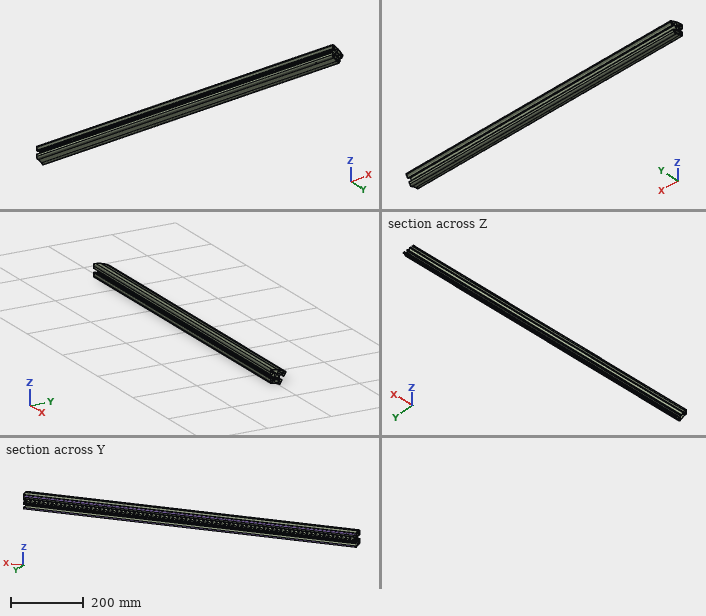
import cadquery as cq
import math

LENGTH = 1000.0
SECTOR_ANGLE = 30.0
INNER_RADIUS = 60.0
OUTER_RADIUS = 100.0
CORNER_RADIUS = 3.0

MOUTH_WIDTH = 11.8
MOUTH_DEPTH = 1.5
OPENING_WIDTH = 10.0
LIP_DEPTH = 6.0
LIP_SLOPE_DEPTH = 8.5
UNDERCUT_WIDTH = 20.4
UNDERCUT_DEPTH = 9.0
FLOOR_WIDTH = 12.1
FLOOR_DEPTH = 13.0

SHELL_WALL = 1.5
SLOT_WEB = 1.2
BISECTOR_WEB = 1.8
BLOCK_DEPTH = 8.85

CORE_BORE = 9.25
OUTER_CORE_HEIGHT = 6.7
OUTER_CORE_WIDTH = 3.5
OUTER_CORE_WALL = 1.05
INNER_CORE_HEIGHT = 8.3
INNER_CORE_WIDTH = 11.9
INNER_CORE_WALL = 2.25

HOLLOW_SIZE = 5.2
HOLLOW_RADIUS = 1.4
HOLLOW_DEPTH = 4.05
HOLLOW_OFFSET = 14.2

SLOT_RADIUS = (INNER_RADIUS + OUTER_RADIUS) / 2
HALF_ANGLE = SECTOR_ANGLE / 2
SIN_HALF = math.sin(math.radians(HALF_ANGLE))
COS_HALF = math.cos(math.radians(HALF_ANGLE))
BEYOND = 2 * OUTER_RADIUS


def prism(points):
    """Full-length bar with a polygonal (Y, Z) section."""
    return cq.Workplane("YZ").polyline(points).close().extrude(LENGTH)


def rod(radius, y=0.0, z=0.0):
    """Full-length round bar along X."""
    return cq.Workplane("YZ").center(y, z).circle(radius).extrude(LENGTH)


def tube(outer, inner):
    """Full-length tube around the X axis."""
    return rod(outer).cut(rod(inner))


def on_bisector(radius, sideways=0.0):
    """(Y, Z) point at a radius on the sector's bisector, shifted square to it by `sideways`."""
    y = radius * SIN_HALF + sideways * COS_HALF
    z = radius * COS_HALF - sideways * SIN_HALF
    return y, z


def both_sides(body):
    """The body together with its mirror image across the sector's bisector."""
    axis = ((0, 0, 0), (1, 0, 0))
    upright = body.rotate(*axis, HALF_ANGLE)
    pair = upright.union(upright.mirror("XZ"))
    return pair.rotate(*axis, -HALF_ANGLE)


def sector():
    """Solid ring sector with its four long edges rounded."""
    full_angle = math.radians(SECTOR_ANGLE)
    turned_side_end = (BEYOND * math.sin(full_angle), BEYOND * math.cos(full_angle))
    wedge = prism([(0, 0), (0, BEYOND), turned_side_end])
    ring = tube(OUTER_RADIUS, INNER_RADIUS)
    return ring.intersect(wedge).edges("|X").fillet(CORNER_RADIUS)


def slot():
    """Stepped T-slot in the XZ-plane side."""
    profile = [
        (0, MOUTH_WIDTH / 2),
        (MOUTH_DEPTH, MOUTH_WIDTH / 2),
        (MOUTH_DEPTH, OPENING_WIDTH / 2),
        (LIP_DEPTH, OPENING_WIDTH / 2),
        (LIP_SLOPE_DEPTH, UNDERCUT_WIDTH / 2),
        (UNDERCUT_DEPTH, UNDERCUT_WIDTH / 2),
        (FLOOR_DEPTH, FLOOR_WIDTH / 2),
    ]
    outer_half = [(depth, SLOT_RADIUS + half) for depth, half in profile]
    inner_half = [(depth, SLOT_RADIUS - half) for depth, half in reversed(profile)]
    return prism(outer_half + inner_half)


def web_back(depth):
    """Distance from the slot's middle to the back of its sloping web at a given depth."""
    slope = (UNDERCUT_WIDTH - FLOOR_WIDTH) / 2 / (FLOOR_DEPTH - UNDERCUT_DEPTH)
    slot_face = FLOOR_WIDTH / 2 + (FLOOR_DEPTH - depth) * slope
    return slot_face + SLOT_WEB * math.hypot(1, slope)


def chamber(direction, core_height, core_width, core_wall, middle_web):
    """Half of the hollow on the outer (direction 1) or inner (direction -1) side of the core."""
    root_depth = FLOOR_DEPTH + core_wall
    core = SLOT_RADIUS + direction * core_height
    end = SLOT_RADIUS + direction * (OUTER_RADIUS - INNER_RADIUS)
    region = prism([
        (BLOCK_DEPTH, SLOT_RADIUS + direction * web_back(BLOCK_DEPTH)),
        (root_depth, SLOT_RADIUS + direction * web_back(root_depth)),
        on_bisector(core, -core_width / 2),
        on_bisector(core, -middle_web / 2),
        on_bisector(end, -middle_web / 2),
        (BLOCK_DEPTH, end),
    ])
    return region.intersect(tube(OUTER_RADIUS - SHELL_WALL, INNER_RADIUS + SHELL_WALL))


def corner_hollow(direction):
    """Rounded square hollow in the outer (1) or inner (-1) corner block."""
    section = cq.Workplane("YZ").center(HOLLOW_DEPTH, SLOT_RADIUS + direction * HOLLOW_OFFSET)
    square = section.rect(HOLLOW_SIZE, HOLLOW_SIZE).extrude(LENGTH)
    return square.edges("|X").fillet(HOLLOW_RADIUS)


outer_chamber = chamber(1, OUTER_CORE_HEIGHT, OUTER_CORE_WIDTH, OUTER_CORE_WALL, BISECTOR_WEB)
inner_chamber = chamber(-1, INNER_CORE_HEIGHT, INNER_CORE_WIDTH, INNER_CORE_WALL, 0.0)

result = sector()
for cutter in (slot(), outer_chamber, inner_chamber, corner_hollow(1), corner_hollow(-1)):
    result = result.cut(both_sides(cutter))
result = result.cut(rod(CORE_BORE / 2, *on_bisector(SLOT_RADIUS)))